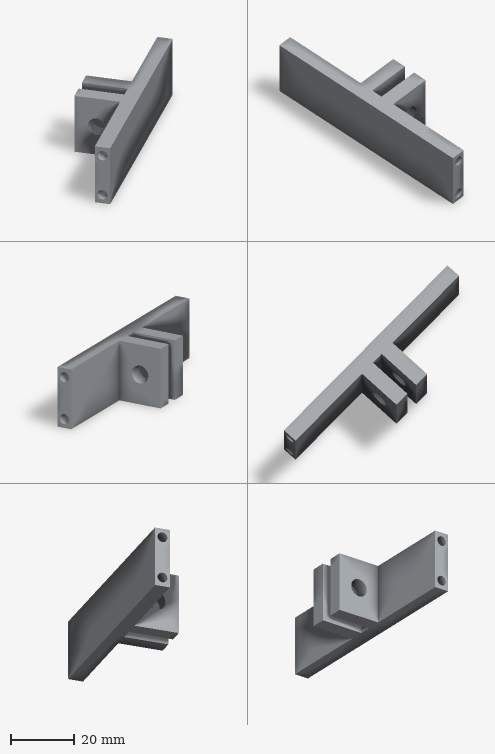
import cadquery as cq
import math

length = 75.0
height = 20.0
thickness = 5.0
lug_reach = 15.0
lug_gap = 4.0
pivot_diameter = 6.0
end_hole_diameter = 3.3
end_hole_inset = 3.0
end_hole_depth = 10.0
drill_point_angle = 118.0

plate_center_x = lug_reach + thickness / 2
lug_offset = (lug_gap + thickness) / 2
end_hole_offset = height / 2 - end_hole_inset


def make_plate():
    return cq.Workplane("XY").box(thickness, length, height).translate((plate_center_x, 0, 0))


def make_lug(side):
    """One lug, overlapping the full plate thickness so that they fuse."""
    lug = cq.Workplane("XY").box(lug_reach + thickness, thickness, height, centered=(False, True, True))
    return lug.translate((0, side * lug_offset, 0))


def make_pivot_hole():
    """Cutter through both lugs along Y, midway along their reach."""
    return (
        cq.Workplane("XZ")
        .center(lug_reach / 2, 0)
        .circle(pivot_diameter / 2)
        .extrude(lug_gap / 2 + thickness, both=True)
    )


def make_end_hole(side, z):
    """Blind drilled hole with a conical bottom, entering one end of the plate."""
    radius = end_hole_diameter / 2
    tip_depth = end_hole_depth + radius / math.tan(math.radians(drill_point_angle / 2))
    end_y = side * length / 2
    return (
        cq.Workplane("XY")
        .moveTo(0, end_y)
        .lineTo(radius, end_y)
        .lineTo(radius, end_y - side * end_hole_depth)
        .lineTo(0, end_y - side * tip_depth)
        .close()
        .revolve(360, (0, 0, 0), (0, 1, 0))
        .translate((plate_center_x, 0, z))
    )


result = make_plate()
for side in (-1, 1):
    result = result.union(make_lug(side))
result = result.cut(make_pivot_hole())
for side in (-1, 1):
    for z in (-end_hole_offset, end_hole_offset):
        result = result.cut(make_end_hole(side, z))